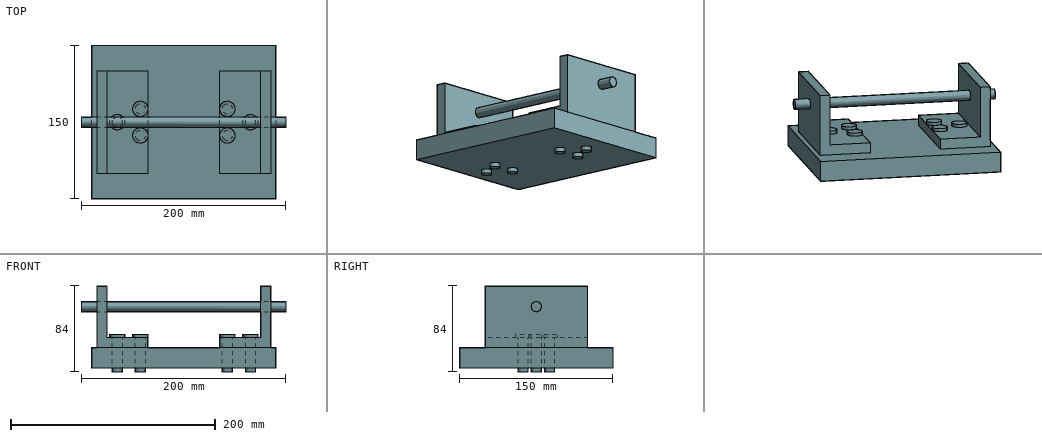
import cadquery as cq
import math

PLATE_LENGTH = 180.0
PLATE_WIDTH = 150.0
PLATE_THICKNESS = 20.0

BRACKET_FOOT = 50.0
BRACKET_HEIGHT = 60.0
BRACKET_WIDTH = 100.0
BRACKET_THICKNESS = 10.0
BRACKET_INNER_X = 35.0
BRACKET_OUTER_X = BRACKET_INNER_X + BRACKET_FOOT

ROD_LENGTH = 200.0
ROD_DIAMETER = 10.0
ROD_HEIGHT = 40.0

BOLTS_PER_BRACKET = 3
BOLT_CIRCLE_RADIUS = 15.0
BOLT_CIRCLE_X = 50.0
HEAD_DIAMETER = 15.0
HEAD_THICKNESS = 3.0
SHANK_DIAMETER = 10.0
SHANK_PROTRUSION = 4.0
SHANK_LENGTH = BRACKET_THICKNESS + PLATE_THICKNESS + SHANK_PROTRUSION

SIDES = (-1, 1)


def bolt_points(side):
    """Bolt centres on one side; the first bolt is the outermost."""
    points = []
    for index in range(BOLTS_PER_BRACKET):
        angle = 2 * math.pi * index / BOLTS_PER_BRACKET
        x = side * (BOLT_CIRCLE_X + BOLT_CIRCLE_RADIUS * math.cos(angle))
        y = BOLT_CIRCLE_RADIUS * math.sin(angle)
        points.append((x, y))
    return points


def bolt_holes(side):
    """Cutters for the bolt holes through one bracket foot and the plate."""
    return (
        cq.Workplane("XY", origin=(0, 0, -PLATE_THICKNESS))
        .pushPoints(bolt_points(side))
        .circle(SHANK_DIAMETER / 2)
        .extrude(PLATE_THICKNESS + BRACKET_THICKNESS)
    )


def make_plate():
    plate = cq.Workplane("XY").box(
        PLATE_LENGTH, PLATE_WIDTH, PLATE_THICKNESS, centered=(True, True, False)
    ).translate((0, 0, -PLATE_THICKNESS))
    for side in SIDES:
        plate = plate.cut(bolt_holes(side))
    return plate


def make_rod():
    return (
        cq.Workplane("YZ", origin=(-ROD_LENGTH / 2, 0, ROD_HEIGHT))
        .circle(ROD_DIAMETER / 2)
        .extrude(ROD_LENGTH)
    )


def make_bracket(side):
    """L-shaped bracket with its upright on the outer end of the foot."""
    inner = side * BRACKET_INNER_X
    outer = side * BRACKET_OUTER_X
    upright_inner = side * (BRACKET_OUTER_X - BRACKET_THICKNESS)
    bracket = (
        cq.Workplane("XZ")
        .moveTo(inner, 0)
        .lineTo(outer, 0)
        .lineTo(outer, BRACKET_HEIGHT)
        .lineTo(upright_inner, BRACKET_HEIGHT)
        .lineTo(upright_inner, BRACKET_THICKNESS)
        .lineTo(inner, BRACKET_THICKNESS)
        .close()
        .extrude(BRACKET_WIDTH / 2, both=True)
    )
    return bracket.cut(make_rod()).cut(bolt_holes(side))


def make_bolt(x, y):
    """Round-headed bolt with its head resting on a bracket foot."""
    seat = cq.Workplane("XY", origin=(x, y, BRACKET_THICKNESS))
    head = seat.circle(HEAD_DIAMETER / 2).extrude(HEAD_THICKNESS)
    shank = seat.circle(SHANK_DIAMETER / 2).extrude(-SHANK_LENGTH)
    return head.union(shank)


plate = make_plate()
rod = make_rod()
brackets = [make_bracket(side) for side in SIDES]
bolts = [make_bolt(x, y) for side in SIDES for x, y in bolt_points(side)]

result = cq.Compound.makeCompound(
    [body.val() for body in (plate, rod, *brackets)]
    + [solid for bolt in bolts for solid in bolt.solids().vals()]
)